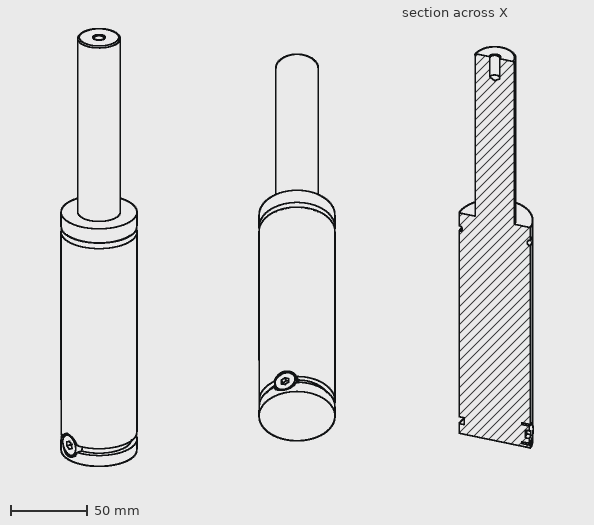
import cadquery as cq
import math

total_height = 302.0
body_diameter = 50.0
body_height = 174.0
rod_diameter = 28.0
rod_chamfer = 1.0

top_groove_center_below_top = 12.5
top_groove_radius = 2.0

base_groove_bottom = 8.0
base_groove_width = 5.0
base_groove_diameter = 43.0

port_height = 10.5
port_bore_diameter = 16.0
port_seat_offset = 19.0
plug_diameter = 14.0
plug_face_offset = 24.5
socket_across_flats = 5.0
socket_depth = 3.0

rod_hole_diameter = 6.8
rod_hole_mouth_diameter = 8.0
rod_hole_depth = 16.0
drill_point_angle = 118.0

body_radius = body_diameter / 2


def disc(diameter, bottom, height):
    """Upright cylinder on the part axis."""
    return cq.Workplane("XY").workplane(offset=bottom).circle(diameter / 2).extrude(height)


def make_body():
    body = disc(body_diameter, 0, body_height)
    return body.cut(make_top_groove()).cut(make_base_groove())


def make_top_groove():
    groove_height = body_height - top_groove_center_below_top
    section = cq.Workplane("XZ").center(body_radius, groove_height).circle(top_groove_radius)
    return section.revolve(360, (-body_radius, 0), (-body_radius, 1))


def make_base_groove():
    outside = disc(body_diameter, base_groove_bottom, base_groove_width)
    return outside.cut(disc(base_groove_diameter, base_groove_bottom, base_groove_width))


def make_rod():
    rod = disc(rod_diameter, body_height, total_height - body_height)
    return rod.faces(">Z").chamfer(rod_chamfer)


def make_rod_hole():
    """Blind drilled hole with a 45 degree mouth chamfer and a conical end."""
    hole_radius = rod_hole_diameter / 2
    mouth_radius = rod_hole_mouth_diameter / 2
    mouth_depth = mouth_radius - hole_radius
    point_length = hole_radius / math.tan(math.radians(drill_point_angle / 2))
    wall_bottom = total_height - rod_hole_depth
    profile = (
        cq.Workplane("XZ")
        .moveTo(0, total_height)
        .lineTo(mouth_radius, total_height)
        .lineTo(hole_radius, total_height - mouth_depth)
        .lineTo(hole_radius, wall_bottom)
        .lineTo(0, wall_bottom - point_length)
        .close()
    )
    return profile.revolve(360, (0, 0), (0, 1))


def port_plane(offset):
    """Plane facing -Y, centred on the port, at the given distance in front of the part axis."""
    return cq.Workplane("XZ", origin=(0, -offset, port_height))


def add_port(part):
    """Bore the wall down to a flat seat, stand the plug on the seat and sink its hexagon socket."""
    bore_depth = body_radius - port_seat_offset
    plug_length = plug_face_offset - port_seat_offset
    socket_across_corners = socket_across_flats / math.cos(math.pi / 6)
    bore = port_plane(port_seat_offset).circle(port_bore_diameter / 2).extrude(bore_depth)
    plug = port_plane(port_seat_offset).circle(plug_diameter / 2).extrude(plug_length)
    socket = (
        port_plane(plug_face_offset)
        .transformed(rotate=(0, 0, 90))
        .polygon(6, socket_across_corners)
        .extrude(-socket_depth)
    )
    return part.cut(bore).union(plug).cut(socket)


result = add_port(make_body().union(make_rod()).cut(make_rod_hole()))